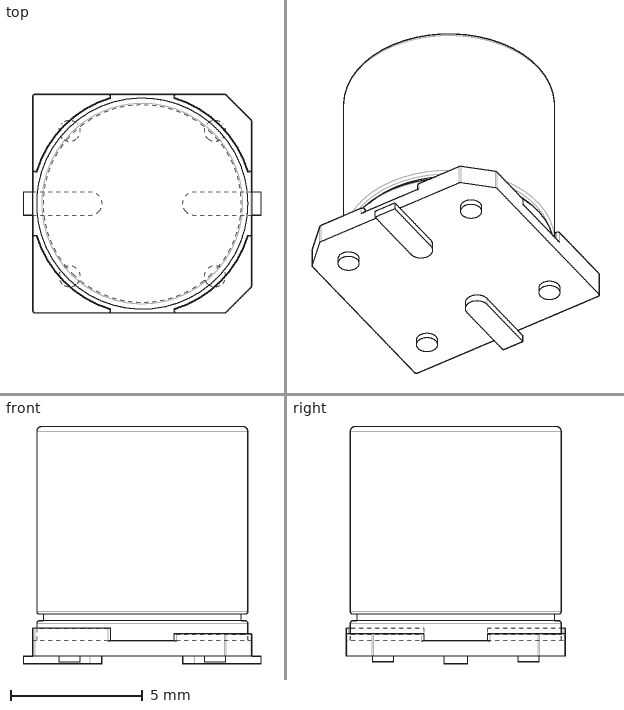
import cadquery as cq

total_height = 9.0
lead_span = 9.0

lead_width = 0.89
lead_thickness = 0.3
lead_inner_gap = 3.06
foot_diameter = 0.8
foot_height = 0.225
foot_offset = 2.75

base_side = 8.3
base_bottom = lead_thickness
seat_level = 0.88
corner_top = 1.37
low_corner_top = 1.14
corner_chamfer = 1.0
base_edge_radius = 0.09
top_edge_radius = 0.03
recess_diameter = 8.33
notch_width = 2.41

can_diameter = 8.0
neck_diameter = 7.5
neck_bottom = 1.64
neck_top = 1.88
neck_edge_radius = 0.1
can_top_radius = 0.2


def base_block(height):
    """Square block with two chamfered +X corners and lightly rounded vertical edges."""
    return (
        cq.Workplane("XY", origin=(0, 0, base_bottom))
        .rect(base_side, base_side)
        .extrude(height)
        .edges("|Z and >X")
        .chamfer(corner_chamfer)
        .edges("|Z")
        .fillet(base_edge_radius)
    )


def raised_corner(sign_x, sign_y, top):
    """Corner pad cut by the round recess, with rounded notch and top edges."""
    half_side = base_side / 2
    pad_side = half_side - notch_width / 2
    pad_centre = (half_side + notch_width / 2) / 2
    pad = (
        cq.Workplane("XY", origin=(sign_x * pad_centre, sign_y * pad_centre, base_bottom))
        .rect(pad_side, pad_side)
        .extrude(top - base_bottom)
        .edges("|Z")
        .fillet(base_edge_radius)
    )
    recess = cq.Workplane("XY").circle(recess_diameter / 2).extrude(total_height)
    pad = pad.intersect(base_block(top - base_bottom)).cut(recess)
    return pad.faces(">Z").edges().fillet(top_edge_radius)


def make_base():
    """Flat seat for the can, with tall pads on the -X side and low pads on the +X side."""
    seat = base_block(seat_level - base_bottom)
    base = seat.faces(">Z").edges().fillet(top_edge_radius)
    for sign_y in (-1, 1):
        base = base.union(raised_corner(-1, sign_y, corner_top))
        base = base.union(raised_corner(1, sign_y, low_corner_top))
    return base


def make_can():
    """Can with a rounded top rim and a neck groove with rounded lips."""
    lower_band = (
        cq.Workplane("XY", origin=(0, 0, base_bottom))
        .circle(can_diameter / 2)
        .extrude(neck_bottom - base_bottom)
        .faces(">Z")
        .edges()
        .fillet(neck_edge_radius)
    )
    neck = (
        cq.Workplane("XY", origin=(0, 0, base_bottom))
        .circle(neck_diameter / 2)
        .extrude(neck_top - base_bottom)
    )
    body = (
        cq.Workplane("XY", origin=(0, 0, neck_top))
        .circle(can_diameter / 2)
        .extrude(total_height - neck_top)
        .faces("<Z")
        .edges()
        .fillet(neck_edge_radius)
        .faces(">Z")
        .edges()
        .fillet(can_top_radius)
    )
    return neck.union(lower_band).union(body)


def make_lead(sign_x):
    """Flat terminal, square outside the base and fully rounded at its inner end."""
    round_centre = lead_inner_gap / 2 + lead_width / 2
    straight_length = lead_span / 2 - round_centre
    strip = (
        cq.Workplane("XY")
        .center(sign_x * (round_centre + straight_length / 2), 0)
        .rect(straight_length, lead_width)
        .extrude(lead_thickness)
    )
    inner_end = (
        cq.Workplane("XY")
        .center(sign_x * round_centre, 0)
        .circle(lead_width / 2)
        .extrude(lead_thickness)
    )
    return strip.union(inner_end)


def make_feet():
    return (
        cq.Workplane("XY", origin=(0, 0, base_bottom - foot_height))
        .rect(2 * foot_offset, 2 * foot_offset, forConstruction=True)
        .vertices()
        .circle(foot_diameter / 2)
        .extrude(foot_height)
    )


result = make_base().union(make_can()).union(make_feet())
for side in (-1, 1):
    result = result.union(make_lead(side))